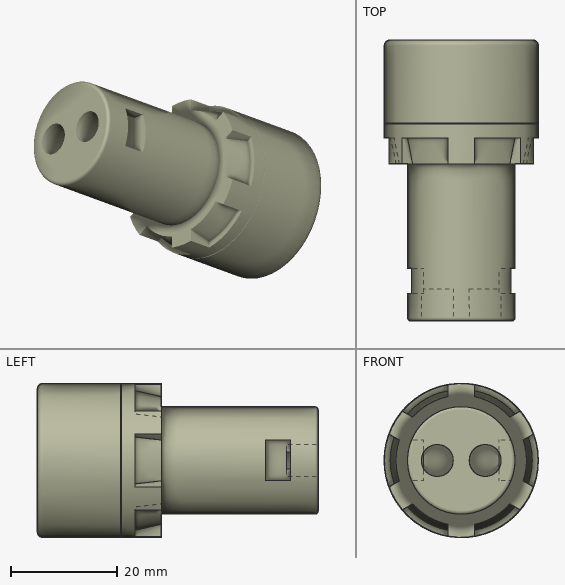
import cadquery as cq

TOTAL_LENGTH = 52.8
CUT_MARGIN = 1.0

HEAD_RADIUS = 14.5
HEAD_LENGTH = 15.7
HEAD_EDGE_RADIUS = 1.1
COLLAR_LENGTH = 7.6
SEAM_WIDTH = 0.2
SEAM_DEPTH = 0.1

SHANK_RADIUS = 10.1
SHANK_EDGE_RADIUS = 0.6

TOOTH_COUNT = 6
TOOTH_WIDTH = 5.0
NOTCH_LENGTH = 4.9
NOTCH_FACE_RADIUS = 12.25
NOTCH_INNER_RADIUS = 13.35

HOLE_RADIUS = 3.0
HOLE_OFFSET = 4.5
HOLE_DEPTH = 6.0

POCKET_WIDTH = 7.6
POCKET_LENGTH = 4.7
POCKET_START = 5.2
POCKET_FLOOR = 7.05

SEAM_Y = TOTAL_LENGTH - HEAD_LENGTH
COLLAR_FACE_Y = SEAM_Y - COLLAR_LENGTH
NOTCH_END_Y = COLLAR_FACE_Y + NOTCH_LENGTH


def cylinder(radius, start, length):
    """Cylinder on the Y axis, running from start towards +Y."""
    return cq.Workplane("XZ", origin=(0, start, 0)).circle(radius).extrude(-length)


def make_shank():
    shank = cylinder(SHANK_RADIUS, 0, COLLAR_FACE_Y)
    return shank.faces("<Y").edges().fillet(SHANK_EDGE_RADIUS)


def make_head():
    head = cylinder(HEAD_RADIUS, COLLAR_FACE_Y, TOTAL_LENGTH - COLLAR_FACE_Y)
    return head.faces(">Y").edges().fillet(HEAD_EDGE_RADIUS)


def make_seam():
    """Shallow groove between the collar and the head."""
    start = SEAM_Y - SEAM_WIDTH / 2
    outer = cylinder(HEAD_RADIUS + CUT_MARGIN, start, SEAM_WIDTH)
    return outer.cut(cylinder(HEAD_RADIUS - SEAM_DEPTH, start, SEAM_WIDTH))


def make_notches():
    """Ring with a conical inner face, less the teeth that stay standing."""
    clear_radius = HEAD_RADIUS + CUT_MARGIN
    ring = (
        cq.Workplane("XY")
        .moveTo(NOTCH_FACE_RADIUS, COLLAR_FACE_Y)
        .lineTo(clear_radius, COLLAR_FACE_Y)
        .lineTo(clear_radius, NOTCH_END_Y)
        .lineTo(NOTCH_INNER_RADIUS, NOTCH_END_Y)
        .close()
        .revolve(360, (0, 0, 0), (0, 1, 0))
    )
    bar_height = 2 * (clear_radius + CUT_MARGIN)
    for index in range(TOOTH_COUNT // 2):
        bar = cq.Workplane("XY").box(TOOTH_WIDTH, NOTCH_LENGTH, bar_height)
        bar = bar.translate((0, COLLAR_FACE_Y + NOTCH_LENGTH / 2, 0))
        angle = index * 360 / TOOTH_COUNT
        ring = ring.cut(bar.rotate((0, 0, 0), (0, 1, 0), angle))
    return ring


def make_hole(side):
    return cylinder(HOLE_RADIUS, 0, HOLE_DEPTH).translate((side * HOLE_OFFSET, 0, 0))


def make_pocket(side):
    depth = SHANK_RADIUS + CUT_MARGIN - POCKET_FLOOR
    centre_x = side * (POCKET_FLOOR + depth / 2)
    centre_y = POCKET_START + POCKET_LENGTH / 2
    pocket = cq.Workplane("XY").box(depth, POCKET_LENGTH, POCKET_WIDTH)
    return pocket.translate((centre_x, centre_y, 0))


result = make_shank().union(make_head()).cut(make_seam()).cut(make_notches())
for side in (-1, 1):
    result = result.cut(make_hole(side)).cut(make_pocket(side))